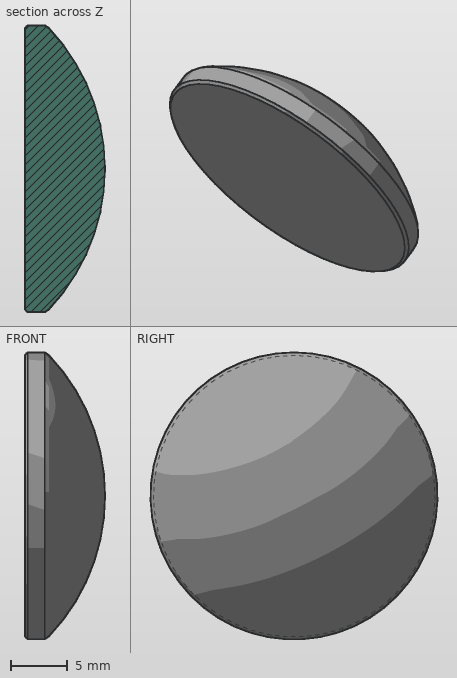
import cadquery as cq

diameter = 25.4
thickness = 7.1
flat_bevel = 0.25
rim_end = 1.78
dome_start = 2.13
dome_bevel_depth = 0.25

rim_radius = diameter / 2
dome_base_radius = rim_radius - dome_bevel_depth

dome_height = thickness - dome_start
sphere_radius = (dome_base_radius**2 + dome_height**2) / (2 * dome_height)
sphere_center = thickness - sphere_radius

mid_radius = dome_base_radius / 2
mid_x = sphere_center + (sphere_radius**2 - mid_radius**2) ** 0.5

half_section = (
    cq.Workplane("XZ")
    .moveTo(0, 0)
    .lineTo(0, rim_radius - flat_bevel)
    .lineTo(flat_bevel, rim_radius)
    .lineTo(rim_end, rim_radius)
    .lineTo(dome_start, dome_base_radius)
    .threePointArc((mid_x, mid_radius), (thickness, 0))
    .close()
)

result = half_section.revolve(360, (0, 0, 0), (1, 0, 0))